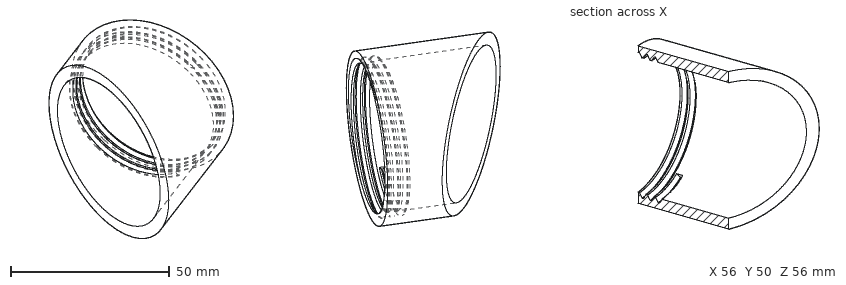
import cadquery as cq
import math

outer_radius = 28.0
bore_radius = 24.0
long_side_length = 50.0
miter_angle = 30.0

thread_pitch = 3.0
thread_width = 0.75 * thread_pitch
thread_root_width = thread_pitch / 8
thread_flank_angle = 30.0
thread_end_depth = 8.0
thread_end_angle = -60.0
cutter_overlap = 0.1


def make_tube():
    return (
        cq.Workplane("XZ")
        .circle(outer_radius)
        .circle(bore_radius)
        .extrude(long_side_length)
    )


def make_miter_cutter():
    width = 2 * outer_radius
    rise = width * math.tan(math.radians(miter_angle))
    return (
        cq.Workplane("XY")
        .moveTo(-outer_radius, -long_side_length)
        .lineTo(outer_radius, -long_side_length)
        .lineTo(-outer_radius, rise - long_side_length)
        .close()
        .extrude(outer_radius, both=True)
    )


def make_thread_cutter():
    """Sweep the groove profile along a helix that runs out through the square end."""
    flank_slope = math.tan(math.radians(thread_flank_angle))
    thread_depth = (thread_width - thread_root_width) / 2 / flank_slope
    half_mouth = thread_width / 2 + flank_slope * cutter_overlap
    half_root = thread_root_width / 2
    mouth_radius = bore_radius - cutter_overlap
    root_radius = bore_radius + thread_depth

    helix_length = thread_end_depth + half_mouth
    helix = cq.Wire.makeHelix(thread_pitch, helix_length, bore_radius)
    groove = (
        cq.Workplane("XZ")
        .moveTo(mouth_radius, -half_mouth)
        .lineTo(root_radius, -half_root)
        .lineTo(root_radius, half_root)
        .lineTo(mouth_radius, half_mouth)
        .close()
        .sweep(cq.Workplane(obj=helix), isFrenet=True)
    )

    start_angle = thread_end_angle - 360 * helix_length / thread_pitch
    return (
        groove
        .rotate((0, 0, 0), (0, 0, 1), start_angle)
        .rotate((0, 0, 0), (1, 0, 0), 90)
        .translate((0, half_mouth, 0))
    )


result = make_tube().cut(make_miter_cutter()).cut(make_thread_cutter())